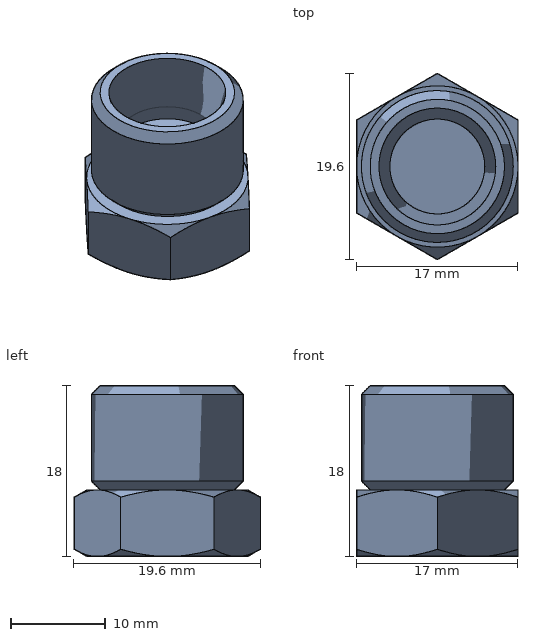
import cadquery as cq
import math

HEX_CORNERS = 19.63
HEX_HEIGHT = 7.0
HEX_CHAMFER_ANGLE = 30.0
HEX_FLATS = HEX_CORNERS * math.cos(math.radians(30))

TOTAL_HEIGHT = 18.0
SPIGOT_DIAMETER = 16.0
SPIGOT_CHAMFER = 0.92

BORE_DIAMETER = 10.0
BORE_DEPTH = 7.0
MOUTH_DIAMETER = 12.3
MOUTH_HALF_ANGLE = 12.0


def revolve_profile(points):
    """Revolve a closed (radius, height) outline about the Z axis."""
    return cq.Workplane("XZ").polyline(points).close().revolve(360, (0, 0), (0, 1))


def hex_base():
    """Hexagon whose corners are trimmed by a cone at both ends."""
    prism = (
        cq.Workplane("XY")
        .polygon(6, HEX_CORNERS)
        .extrude(HEX_HEIGHT)
        .rotate((0, 0, 0), (0, 0, 1), 90)
    )
    end_radius = HEX_FLATS / 2
    outer_radius = HEX_CORNERS / 2
    drop = (outer_radius - end_radius) * math.tan(math.radians(HEX_CHAMFER_ANGLE))
    envelope = revolve_profile([
        (0, 0),
        (end_radius, 0),
        (outer_radius, drop),
        (outer_radius, HEX_HEIGHT - drop),
        (end_radius, HEX_HEIGHT),
        (0, HEX_HEIGHT),
    ])
    return prism.intersect(envelope)


def spigot():
    """Cylinder chamfered at its free end and where it meets the base."""
    return (
        cq.Workplane("XY")
        .workplane(offset=HEX_HEIGHT)
        .circle(SPIGOT_DIAMETER / 2)
        .extrude(TOTAL_HEIGHT - HEX_HEIGHT)
        .faces("<Z or >Z")
        .chamfer(SPIGOT_CHAMFER)
    )


def bore():
    """Solid to remove for the bore and its tapered mouth."""
    bore_radius = BORE_DIAMETER / 2
    mouth_radius = MOUTH_DIAMETER / 2
    taper_depth = (mouth_radius - bore_radius) / math.tan(math.radians(MOUTH_HALF_ANGLE))
    floor = TOTAL_HEIGHT - BORE_DEPTH
    return revolve_profile([
        (0, floor),
        (bore_radius, floor),
        (bore_radius, TOTAL_HEIGHT - taper_depth),
        (mouth_radius, TOTAL_HEIGHT),
        (0, TOTAL_HEIGHT),
    ])


result = hex_base().union(spigot()).cut(bore())